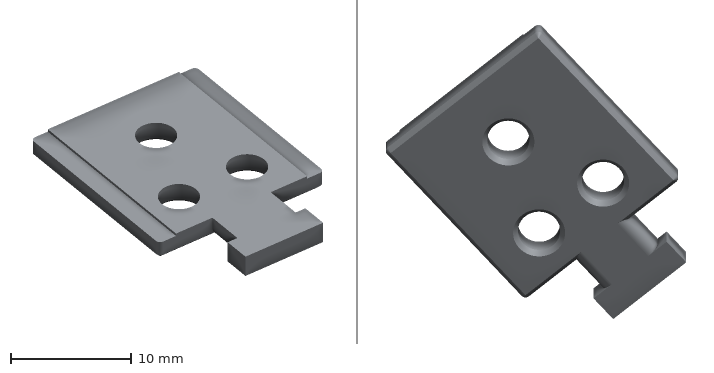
import cadquery as cq

total_length = 24.0
plate_length = 18.0
plate_width = 17.0
thickness = 2.0
corner_radius = 0.43
bottom_chamfer = 0.4

shoulder_width = 1.75
shoulder_depth = 0.25

neck_width = 6.0
neck_bottom_radius = 1.0
head_length = 2.5
head_width = 8.0

hole_diameter = 3.5
single_hole_x = 6.0
paired_hole_x = 14.0
paired_hole_offset = 3.5


def block(x_start, x_end, width, height):
    """Box centred on Y and standing on Z = 0."""
    length = x_end - x_start
    box = cq.Workplane("XY").box(length, width, height, centered=(False, True, False))
    return box.translate((x_start, 0, 0))


def make_plate():
    plate = block(0, plate_length, plate_width, thickness)
    plate = plate.edges("|Z").fillet(corner_radius)
    plate = plate.faces("<Z").edges().chamfer(bottom_chamfer)
    shoulder_y = (plate_width - shoulder_width) / 2
    shoulder = block(0, plate_length, shoulder_width, shoulder_depth)
    for side in (-1, 1):
        plate = plate.cut(shoulder.translate((0, side * shoulder_y, thickness - shoulder_depth)))
    return plate


def make_tongue():
    head_start = total_length - head_length
    neck = block(plate_length - bottom_chamfer, head_start, neck_width, thickness)
    neck = neck.faces("<Z").edges("|X").fillet(neck_bottom_radius)
    head = block(head_start, total_length, head_width, thickness)
    return neck.union(head)


def make_hole(center_x, center_y):
    """Through hole, widened by the underside chamfer."""
    radius = hole_diameter / 2
    bore = cq.Workplane("XY").circle(radius).extrude(thickness)
    countersink = cq.Workplane(cq.Solid.makeCone(radius + bottom_chamfer, radius, bottom_chamfer))
    return bore.union(countersink).translate((center_x, center_y, 0))


hole_centers = [
    (single_hole_x, 0),
    (paired_hole_x, -paired_hole_offset),
    (paired_hole_x, paired_hole_offset),
]

result = make_plate().union(make_tongue())
for hole_x, hole_y in hole_centers:
    result = result.cut(make_hole(hole_x, hole_y))